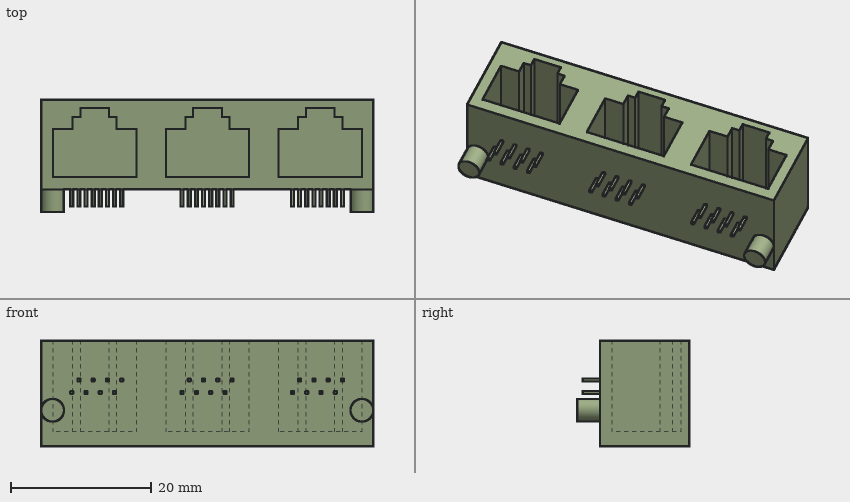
import cadquery as cq

housing_length = 47.4
housing_depth = 12.8
housing_height = 15.1

port_count = 3
port_pitch = 16.1
port_offset = 0.03
port_depth = 13.0
port_front_wall = 1.75
port_width = 11.9
latch_width = 6.3
latch_tip_width = 4.1
port_shoulder_y = 8.62
latch_shoulder_y = 10.35
latch_tip_y = 11.62

peg_diameter = 3.25
peg_length = 3.25
peg_z = 5.15

pin_diameter = 0.46
pin_length = 2.45
pins_per_port = 8
pin_pitch = 1.02
pin_group_pitch = 15.75
pin_group_offset = -0.02
peg_to_lower_row = 2.54
pin_row_spacing = 1.78
lower_row_z = peg_z + peg_to_lower_row
upper_row_z = lower_row_z + pin_row_spacing


def centred_positions(count, pitch):
    """Evenly spaced positions, centred on zero."""
    return [(index - (count - 1) / 2) * pitch for index in range(count)]


def make_housing():
    return cq.Workplane("XY").box(
        housing_length, housing_depth, housing_height, centered=(True, False, False)
    )


def make_port(center_x):
    """Stepped plug cavity: wide plug body with a two-step latch recess behind it."""
    half_outline = [
        (port_width / 2, port_front_wall),
        (port_width / 2, port_shoulder_y),
        (latch_width / 2, port_shoulder_y),
        (latch_width / 2, latch_shoulder_y),
        (latch_tip_width / 2, latch_shoulder_y),
        (latch_tip_width / 2, latch_tip_y),
    ]
    mirrored_half = [(-x, y) for x, y in reversed(half_outline)]
    return (
        cq.Workplane("XY")
        .polyline(half_outline + mirrored_half)
        .close()
        .extrude(port_depth)
        .translate((center_x, 0, housing_height - port_depth))
    )


def make_post(x, z, diameter, length):
    """Round post standing out of the pin face toward -Y."""
    return cq.Workplane("XZ").center(x, z).circle(diameter / 2).extrude(length)


def add_pegs(body):
    peg_x = (housing_length - peg_diameter) / 2
    for x in (-peg_x, peg_x):
        body = body.union(make_post(x, peg_z, peg_diameter, peg_length))
    return body


def add_pins(body):
    for group_x in centred_positions(port_count, pin_group_pitch):
        for index, pin_x in enumerate(centred_positions(pins_per_port, pin_pitch)):
            row_z = lower_row_z if index % 2 == 0 else upper_row_z
            x = group_x + pin_group_offset + pin_x
            body = body.union(make_post(x, row_z, pin_diameter, pin_length))
    return body


result = make_housing()
for port_x in centred_positions(port_count, port_pitch):
    result = result.cut(make_port(port_x + port_offset))
result = add_pegs(result)
result = add_pins(result)